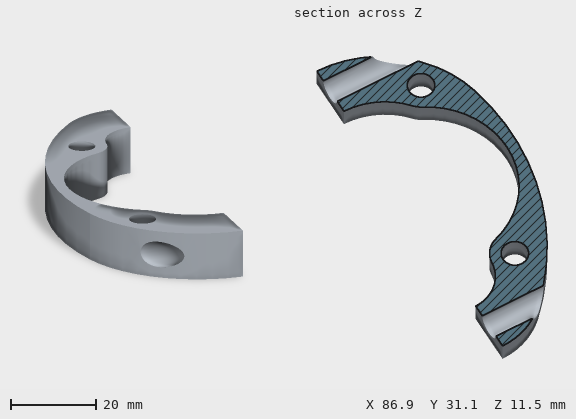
import cadquery as cq
import math

LENGTH = 86.9
THICKNESS = 11.5
LEFT_END_RADIUS = 18.0
RIGHT_END_RADIUS = 30.2
BELLY_RADIUS = 62.2

LEFT_FACE_WIDTH = 12.7
RIGHT_FACE_WIDTH = 12.8
MAIN_HOLLOW_RADIUS = 21.6
BOSS_RADIUS = 6.0

HOLE_DIAMETER = 6.3
LEFT_BOLT = (20.5, -15.2)
RIGHT_BOLT = (71.25, -19.2)
CLAMP_HOLE_INSET = 6.3


def center_above(left, left_distance, right, right_distance):
    """Point on the +Y side at the given distances from two points."""
    dx = right[0] - left[0]
    dy = right[1] - left[1]
    gap = math.hypot(dx, dy)
    along = (gap**2 + left_distance**2 - right_distance**2) / (2 * gap)
    across = math.sqrt(left_distance**2 - along**2)
    return (
        left[0] + (along * dx - across * dy) / gap,
        left[1] + (along * dy + across * dx) / gap,
    )


def point_toward(center, target, distance):
    """Point at the given distance from center, in the direction of target."""
    dx = target[0] - center[0]
    dy = target[1] - center[1]
    scale = distance / math.hypot(dx, dy)
    return (center[0] + dx * scale, center[1] + dy * scale)


def arc_to(sketch, start, end, center):
    """Add the arc around center, shorter than a half turn, from start to end."""
    radius = math.dist(center, start)
    chord_middle = ((start[0] + end[0]) / 2, (start[1] + end[1]) / 2)
    return sketch.threePointArc(point_toward(center, chord_middle, radius), end)


def side_hollow_radius(face_edge_x, boss):
    """Radius of the hollow centred on Y = 0 that starts at face_edge_x and is tangent to the boss."""
    offset = abs(boss[0] - face_edge_x)
    return (offset**2 + boss[1] ** 2 - BOSS_RADIUS**2) / (2 * (BOSS_RADIUS + offset))


def tangent_arcs(sketch, start, end, centers, joints):
    """Add one arc per center, meeting at the joints between start and end."""
    points = [start, *joints, end]
    for center, arc_start, arc_end in zip(centers, points, points[1:]):
        sketch = arc_to(sketch, arc_start, arc_end, center)
    return sketch


left_end_center = (LEFT_END_RADIUS, 0.0)
right_end_center = (LENGTH - RIGHT_END_RADIUS, 0.0)
belly_center = center_above(
    left_end_center,
    BELLY_RADIUS - LEFT_END_RADIUS,
    right_end_center,
    BELLY_RADIUS - RIGHT_END_RADIUS,
)
outer_centers = [left_end_center, belly_center, right_end_center]
outer_joints = [
    point_toward(belly_center, left_end_center, BELLY_RADIUS),
    point_toward(belly_center, right_end_center, BELLY_RADIUS),
]

left_edge_x = LEFT_FACE_WIDTH
right_edge_x = LENGTH - RIGHT_FACE_WIDTH
left_hollow_center = (left_edge_x + side_hollow_radius(left_edge_x, LEFT_BOLT), 0.0)
right_hollow_center = (right_edge_x - side_hollow_radius(right_edge_x, RIGHT_BOLT), 0.0)
boss_to_main = MAIN_HOLLOW_RADIUS + BOSS_RADIUS
main_hollow_center = center_above(LEFT_BOLT, boss_to_main, RIGHT_BOLT, boss_to_main)
inner_centers = [
    right_hollow_center,
    RIGHT_BOLT,
    main_hollow_center,
    LEFT_BOLT,
    left_hollow_center,
]
inner_joints = [
    point_toward(RIGHT_BOLT, right_hollow_center, BOSS_RADIUS),
    point_toward(RIGHT_BOLT, main_hollow_center, BOSS_RADIUS),
    point_toward(LEFT_BOLT, main_hollow_center, BOSS_RADIUS),
    point_toward(LEFT_BOLT, left_hollow_center, BOSS_RADIUS),
]

left_corner = (0.0, 0.0)
right_corner = (LENGTH, 0.0)
left_edge = (left_edge_x, 0.0)
right_edge = (right_edge_x, 0.0)
outline = cq.Workplane("XY").moveTo(*left_corner)
outline = tangent_arcs(outline, left_corner, right_corner, outer_centers, outer_joints)
outline = outline.lineTo(*right_edge)
outline = tangent_arcs(outline, right_edge, left_edge, inner_centers, inner_joints)
body = outline.close().extrude(THICKNESS)

bolt_holes = (
    cq.Workplane("XY")
    .pushPoints([LEFT_BOLT, RIGHT_BOLT])
    .circle(HOLE_DIAMETER / 2)
    .extrude(THICKNESS)
)

clamp_holes = (
    cq.Workplane("XZ")
    .pushPoints([(x, THICKNESS / 2) for x in (CLAMP_HOLE_INSET, LENGTH - CLAMP_HOLE_INSET)])
    .circle(HOLE_DIAMETER / 2)
    .extrude(BELLY_RADIUS)
)

result = body.cut(bolt_holes).cut(clamp_holes)